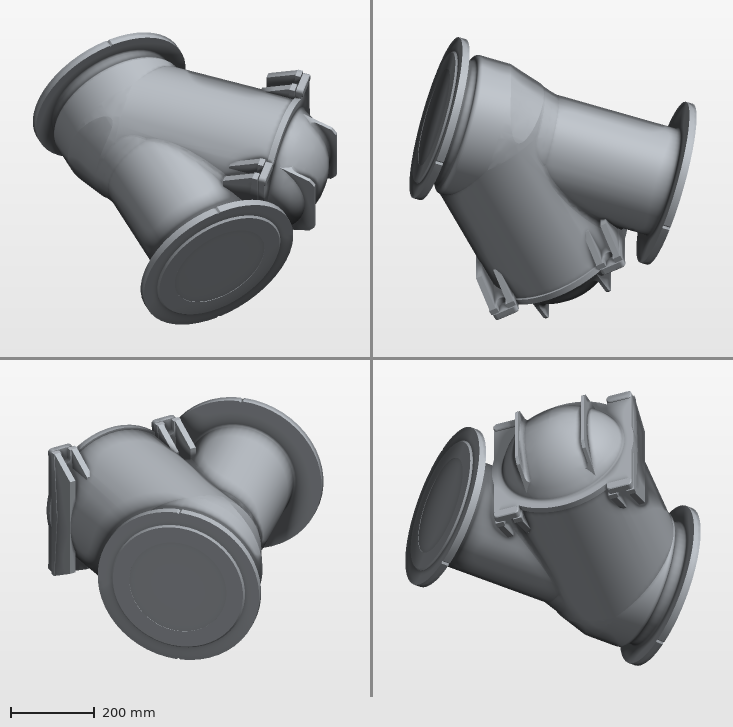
import cadquery as cq
import math

overall_length = 600.0
flange_radius = 200.0
flange_thickness = 18.0
raised_face_height = 5.0
raised_face_radius = 165.0
raised_face_chamfer = 4.0
port_recess_radius = 120.0
port_recess_depth = 1.0
notch_width = 9.8
notch_depth = 4.0

neck_radius = 155.0
neck_end = 49.0
neck_fillet = 5.0
shoulder_concave_radius = 6.0
shoulder_round_radius = 11.0
body_radius = 172.5
pipe_radius = 132.0
taper_end = 270.0
taper_start = 215.0

branch_crossing = 135.0
branch_angle = 45.0
crotch_fillet = 15.0

collar_start = 311.0
collar_lip_end = 313.5
joint_plane = 374.0
strip_gap = 2.5
seat_edge_thickness = 14.0
seat_middle_thickness = 28.0
rib_end = 286.0
cover_thickness = 15.0
lug_height = 18.5
dome_center = 320.0
handle_end = 487.5

collar_lip_radius = 173.9
collar_radius = 178.0
cover_radius = 178.8
dome_radius = 167.5
dome_fillet = 5.0
half_span = 166.0

strip_inner = 110.0
strip_outer = 175.0
lug_inset = 1.2
lug_length = 24.0
lug_corner_radius = 9.0
lug_top_chamfer = 2.0
outer_rib = (158.5, 173.3)
inner_rib = (111.5, 126.5)
rib_slant = 41.0
bolt_slot_width = 24.0
bolt_slot_offset = 143.0
bolt_slot_depth = 34.0

handle_inner = 79.0
handle_outer = 87.0
handle_foot_half_width = 120.0
handle_shoulder_half_width = 94.0
handle_tip_half_width = 78.0
handle_foot = 395.0
handle_shoulder = 475.0
handle_fillet = 8.0

relief_axis_height = 14.6
relief_clearance = 0.5

mask_size = 1000.0
tolerance = 0.01
taper_slope = (body_radius - pipe_radius) / (taper_end - branch_crossing)

origin = cq.Vector(branch_crossing, 0, 0)
branch_cos = math.cos(math.radians(branch_angle))
branch_sin = math.sin(math.radians(branch_angle))
branch_axis = cq.Vector(branch_cos, branch_sin, 0)
branch_side = cq.Vector(-branch_sin, branch_cos, 0)


def branch_plane(station):
    """Plane across the branch; local X is sideways and local Y is world Z."""
    return cq.Plane(origin + branch_axis * station, branch_side, branch_axis)


def side_plane(offset):
    """Plane parallel to the branch axis; local X is world Z, local Y runs along the branch."""
    return cq.Plane(origin + branch_side * offset, cq.Vector(0, 0, 1), branch_side)


def revolve_about_x(profile):
    return profile.close().revolve(360, (0, 0, 0), (1, 0, 0))


def branch_disc(station, length, radius):
    return cq.Workplane(branch_plane(station)).circle(radius).extrude(length)


def on_both_sides(make_part):
    """Join the parts made for the +1 and -1 sides of the branch axis."""
    return make_part(1).union(make_part(-1))


def make_flange():
    """Connection flange with raised face at X = 0, closed by a shallow port recess."""
    back = raised_face_height + flange_thickness
    flange = revolve_about_x(
        cq.Workplane("XY")
        .moveTo(0, 0)
        .lineTo(0, raised_face_radius - raised_face_chamfer)
        .lineTo(raised_face_chamfer, raised_face_radius)
        .lineTo(raised_face_height, raised_face_radius)
        .lineTo(raised_face_height, flange_radius)
        .lineTo(back, flange_radius)
        .lineTo(back, 0)
    )
    recess = cq.Workplane("YZ").circle(port_recess_radius).extrude(port_recess_depth)
    flange = flange.cut(recess)
    for direction in (1, -1):
        rim = direction * flange_radius
        notch = (
            cq.Workplane("YZ")
            .polyline([
                (-notch_width / 2, rim),
                (0, rim - direction * notch_depth),
                (notch_width / 2, rim),
                (0, rim + direction * notch_depth),
            ])
            .close()
            .extrude(back)
        )
        flange = flange.cut(notch)
    return flange


def make_inlet():
    """Neck, rounded shoulder and full-size body up to the branch crossing."""
    flange_back = raised_face_height + flange_thickness
    face_x = neck_end + shoulder_concave_radius
    return revolve_about_x(
        cq.Workplane("XY")
        .moveTo(flange_back, 0)
        .lineTo(flange_back, neck_radius + neck_fillet)
        .radiusArc((flange_back + neck_fillet, neck_radius), -neck_fillet)
        .lineTo(neck_end, neck_radius)
        .radiusArc((face_x, neck_radius + shoulder_concave_radius), -shoulder_concave_radius)
        .lineTo(face_x, body_radius - shoulder_round_radius)
        .radiusArc((face_x + shoulder_round_radius, body_radius), shoulder_round_radius)
        .lineTo(branch_crossing, body_radius)
        .lineTo(branch_crossing, 0)
    )


def make_outlet():
    """Taper leaving the ball, followed by the straight outlet pipe."""
    flange_back = overall_length - raised_face_height - flange_thickness
    start_radius = pipe_radius + (taper_end - taper_start) * taper_slope
    return revolve_about_x(
        cq.Workplane("XY")
        .moveTo(taper_start, 0)
        .lineTo(taper_start, start_radius)
        .lineTo(taper_end, pipe_radius)
        .lineTo(flange_back - neck_fillet, pipe_radius)
        .radiusArc((flange_back, pipe_radius + neck_fillet), -neck_fillet)
        .lineTo(flange_back, 0)
    )


def make_ball():
    """Spherical elbow behind the crossing, flattened slightly along the taper line."""
    ball = cq.Workplane("XY").sphere(body_radius).translate(origin.toTuple())
    start_radius = body_radius + relief_axis_height + relief_clearance
    relief_length = pipe_radius / taper_slope
    relief = revolve_about_x(
        cq.Workplane("XY")
        .moveTo(branch_crossing, 0)
        .lineTo(branch_crossing, start_radius)
        .lineTo(branch_crossing + relief_length, start_radius - relief_length * taper_slope)
        .lineTo(branch_crossing + relief_length, 0)
    ).translate((0, relief_axis_height, 0))
    return ball.intersect(relief)


def make_branch():
    """Inclined barrel, mitred against the body where both have the same radius."""
    barrel = branch_disc(0, joint_plane, body_radius)
    mitre_angle = math.radians((180 + branch_angle) / 2)
    mitre_direction = cq.Vector(math.cos(mitre_angle), math.sin(mitre_angle), 0)
    mitre_normal = cq.Vector(mitre_direction.y, -mitre_direction.x, 0)
    kept_side = (
        cq.Workplane(cq.Plane(origin, mitre_direction, mitre_normal))
        .rect(mask_size, mask_size)
        .extrude(mask_size)
    )
    return barrel.intersect(kept_side)


def make_body():
    """Inlet, ball, barrel and outlet joined, with the crotch filleted."""
    shell = make_inlet().union(make_ball()).union(make_branch())
    shell = shell.union(make_outlet())
    right_of_ball = cq.selectors.BoxSelector(
        (taper_start, -body_radius, -body_radius),
        (overall_length, body_radius, body_radius),
    )
    return shell.edges(right_of_ball).edges("%BSPLINE").fillet(crotch_fillet)


def make_collar():
    """Slightly flared barrel end that carries the seat."""
    return (
        cq.Workplane(side_plane(0))
        .moveTo(0, collar_start)
        .lineTo(body_radius, collar_start)
        .lineTo(collar_lip_radius, collar_lip_end)
        .lineTo(collar_radius, joint_plane)
        .lineTo(0, joint_plane)
        .close()
        .revolve(360, (0, 0, 0), (0, 1, 0))
    )


def side_prism(side, band, points):
    """Prism over a sideways band; points are (world Z, station along the branch)."""
    near, far = band
    start = near if side > 0 else -far
    return cq.Workplane(side_plane(start)).polyline(points).close().extrude(far - near)


def make_seat_side(side):
    """Seat strip, thicker in the middle, with its two slanted ribs and bolt slots."""
    top_station = joint_plane - strip_gap / 2
    edge_station = joint_plane - seat_edge_thickness
    middle_station = joint_plane - seat_middle_thickness
    strip = side_prism(side, (strip_inner, strip_outer), [
        (-half_span, top_station),
        (half_span, top_station),
        (half_span, edge_station),
        (0, middle_station),
        (-half_span, edge_station),
    ])
    for end in (1, -1):
        slot = (
            cq.Workplane(branch_plane(middle_station))
            .center(side * bolt_slot_offset, end * half_span)
            .slot2D(2 * bolt_slot_depth, bolt_slot_width, 90)
            .extrude(seat_middle_thickness)
        )
        strip = strip.cut(slot)
    for band in (outer_rib, inner_rib):
        rib = side_prism(side, band, [
            (-half_span, edge_station),
            (half_span, edge_station),
            (half_span - rib_slant, rib_end),
            (rib_slant - half_span, rib_end),
        ])
        strip = strip.union(rib)
    return strip


def cover_block(center_side, center_z, width, length, top):
    """Corner-rounded block above the strip gap, its top at a height over the joint plane."""
    bottom = strip_gap / 2
    return (
        cq.Workplane(branch_plane(joint_plane + bottom))
        .center(center_side, center_z)
        .rect(width, length)
        .extrude(top - bottom)
        .edges(cq.selectors.ParallelDirSelector(branch_axis))
        .fillet(lug_corner_radius)
    )


def make_cover_side(side):
    """Cover strip carrying a raised, chamfered lug at each end."""
    width = strip_outer - strip_inner - 2 * lug_inset
    middle = side * (strip_inner + strip_outer) / 2
    strip = cover_block(middle, 0, width, 2 * half_span, cover_thickness)
    for end in (1, -1):
        lug_z = end * (half_span - lug_length / 2)
        lug = cover_block(middle, lug_z, width, lug_length, lug_height)
        lug_top = cq.selectors.DirectionMinMaxSelector(branch_axis)
        strip = strip.union(lug.faces(lug_top).chamfer(lug_top_chamfer))
    return strip


def make_handle(side):
    """Lifting plate that stands on the dome parallel to the branch axis."""
    outline = [
        (handle_foot_half_width, handle_foot),
        (handle_shoulder_half_width, handle_shoulder),
        (handle_tip_half_width, handle_end),
    ]
    mirrored = [(-z, station) for z, station in reversed(outline)]
    return side_prism(side, (handle_inner, handle_outer), outline + mirrored)


def make_dome():
    """Spherical cap rising from the joint plane."""
    base_radius = math.sqrt(dome_radius**2 - (joint_plane - dome_center) ** 2)
    return (
        cq.Workplane(side_plane(0))
        .moveTo(0, joint_plane)
        .lineTo(base_radius, joint_plane)
        .radiusArc((0, dome_center + dome_radius), -dome_radius)
        .close()
        .revolve(360, (0, 0, 0), (0, 1, 0))
    )


def make_cover():
    """Round cover and dome with the fillet between them, plus the two handles."""
    disc = branch_disc(joint_plane, cover_thickness, cover_radius)
    cover = disc.union(make_dome())
    dome_foot = cq.selectors.RadiusNthSelector(0)
    cover = cover.edges("%CIRCLE").edges(dome_foot).fillet(dome_fillet)
    cover = cover.union(on_both_sides(make_handle))
    for side in (1, -1):
        inner_face = origin + branch_side * (side * handle_inner)
        feet = [
            edge
            for edge in cover.edges("%CIRCLE").vals()
            if abs((edge.arcCenter() - inner_face).dot(branch_side)) < tolerance
        ]
        cover = cover.newObject(feet).fillet(handle_fillet)
    return cover


result = make_body().union(make_collar())
result = result.union(make_flange())
result = result.union(make_flange().mirror("YZ").translate((overall_length, 0, 0)))
result = result.union(on_both_sides(make_seat_side))
result = result.union(make_cover())
result = result.union(on_both_sides(make_cover_side))